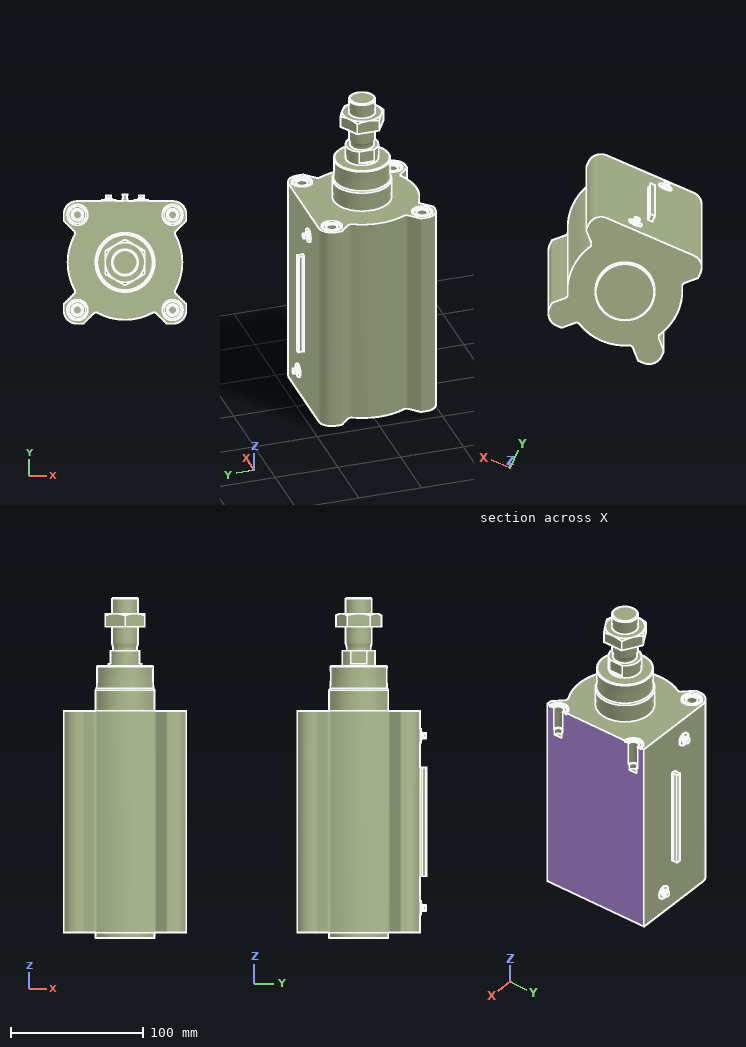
import cadquery as cq
import math

overall_height = 257.6

body_height = 167.8
body_half_width = 46.5
barrel_radius = 43.5
bolt_offset = 36.0
ear_radius = body_half_width - bolt_offset
ear_edge_fillet = 1.0
ear_root_fillet = 2.7

groove_outer_diameter = 15.8
groove_inner_diameter = 13.0
groove_depth = 1.5
seat_depth = 0.7
bolt_hole_diameter = 8.38
bolt_hole_chamfer = 0.4
bolt_hole_depth = 20.0
lower_hole_diameter = 6.6
lower_hole_depth = 5.0

collar_diameter = 45.0
collar_height = 15.5
shoulder_diameter = 43.3
shoulder_height = 1.5
sleeve_height = 17.0
sleeve_top_diameter = 42.9
sleeve_waist_diameter = 42.5
sleeve_chamfer = 0.6
boss_height = 4.3
boss_chamfer = 0.5

rail_width = 4.0
rail_length = 82.5
rail_height = 5.0
rail_groove_bottom = 1.5
rail_groove_top = 4.3
rail_groove_depth = 0.3
screw_x = 12.4
screw_z_from_middle = 65.1
screw_flange_diameter = 10.6
screw_flange_height = 0.8
screw_seat_diameter = 5.4
screw_seat_height = 0.8
screw_neck_diameter = 3.8
screw_neck_height = 0.8
screw_head_width = 4.2
screw_head_height = 2.1
screw_head_chamfer = 0.3

rod_diameter = 25.0
rod_flats_width = 22.0
rod_shoulder_height = 11.6
flats_height = 9.9
undercut_diameter = 18.38
undercut_height = 2.5
undercut_cone_height = 3.0
thread_diameter = 20.0
thread_chamfer = 0.8

nut_width = 30.0
nut_height = 10.0
nut_top_from_tip = 12.0
nut_chamfer_angle = 30.0

collar_top = body_height + collar_height
shoulder_top = collar_top + shoulder_height
sleeve_top = shoulder_top + sleeve_height
rod_shoulder_top = sleeve_top + rod_shoulder_height
undercut_top = rod_shoulder_top + undercut_height
thread_bottom = undercut_top + undercut_cone_height
tip_top = overall_height - boss_height
nut_top = tip_top - nut_top_from_tip
nut_bottom = nut_top - nut_height
rod_bottom = body_height


def cylinder(diameter, bottom, height):
    return cq.Workplane("XY").workplane(offset=bottom).circle(diameter / 2).extrude(height)


def make_ear(angle):
    """Strip reaching from the axis to one corner, cut off square by the body width."""
    reach = 2 * body_half_width
    strip = (
        cq.Workplane("XY")
        .center(reach / 2, 0)
        .rect(reach, 2 * ear_radius)
        .extrude(body_height)
        .rotate((0, 0, 0), (0, 0, 1), angle)
    )
    square = cq.Workplane("XY").rect(2 * body_half_width, 2 * body_half_width).extrude(body_height)
    return strip.intersect(square)


def fillet_uprights(body, points, radius):
    """Round the vertical edges of the body that pass through the given points."""
    margin = 0.5
    for x, y in points:
        low = (x - margin, y - margin, 0)
        high = (x + margin, y + margin, body_height)
        body = body.edges("|Z").edges(cq.selectors.BoxSelector(low, high)).fillet(radius)
    return body


def make_body():
    body = cylinder(2 * barrel_radius, 0, body_height)
    for angle in (45, 135, 225, 315):
        body = body.union(make_ear(angle))
    back = (
        cq.Workplane("XY")
        .center(0, (bolt_offset + body_half_width) / 2)
        .rect(2 * bolt_offset, body_half_width - bolt_offset)
        .extrude(body_height)
    )
    body = body.union(back).clean()

    w = body_half_width
    corners = [(sx * w, sy * w) for sx in (-1, 1) for sy in (-1, 1)]
    body = fillet_uprights(body, corners, ear_radius)

    edge_y = w - math.sqrt(2) * ear_radius
    ear_edges = [(sx * w, sy * edge_y) for sx in (-1, 1) for sy in (-1, 1)]
    ear_edges += [(sx * edge_y, -w) for sx in (-1, 1)]
    body = fillet_uprights(body, ear_edges, ear_edge_fillet)

    root_angle = math.radians(45) - math.asin(ear_radius / barrel_radius)
    near = barrel_radius * math.sin(root_angle)
    far = barrel_radius * math.cos(root_angle)
    roots = [(sx * far, sy * near) for sx in (-1, 1) for sy in (-1, 1)]
    roots += [(sx * near, -far) for sx in (-1, 1)]
    return fillet_uprights(body, roots, ear_root_fillet)


def make_bolt_recess():
    """Cutter for one corner: a V groove around a sunken seat with a stepped blind hole."""
    seat = body_height - seat_depth
    hole_bottom = seat - bolt_hole_depth
    hole_rim_radius = bolt_hole_diameter / 2 + bolt_hole_chamfer
    outline = [
        (0, body_height),
        (groove_outer_diameter / 2, body_height),
        (groove_outer_diameter / 2, body_height - groove_depth),
        (groove_inner_diameter / 2, seat),
        (hole_rim_radius, seat),
        (bolt_hole_diameter / 2, seat - bolt_hole_chamfer),
        (bolt_hole_diameter / 2, hole_bottom),
        (lower_hole_diameter / 2, hole_bottom),
        (lower_hole_diameter / 2, hole_bottom - lower_hole_depth),
        (0, hole_bottom - lower_hole_depth),
    ]
    return cq.Workplane("XZ").polyline(outline).close().revolve(360, (0, 0), (0, 1))


def make_collar():
    """Collar with a conical shoulder and a slightly waisted sleeve."""
    return (
        cq.Workplane("XZ")
        .moveTo(0, body_height)
        .lineTo(collar_diameter / 2, body_height)
        .lineTo(collar_diameter / 2, collar_top)
        .lineTo(shoulder_diameter / 2, shoulder_top)
        .threePointArc(
            (sleeve_waist_diameter / 2, shoulder_top + sleeve_height / 2),
            (sleeve_top_diameter / 2, sleeve_top - sleeve_chamfer),
        )
        .lineTo(sleeve_top_diameter / 2 - sleeve_chamfer, sleeve_top)
        .lineTo(0, sleeve_top)
        .close()
        .revolve(360, (0, 0), (0, 1))
    )


def make_rail():
    """Rail along the middle of the back, with a shallow groove along each side."""
    rail = cq.Workplane("XY").box(rail_width, rail_height, rail_length, centered=(True, False, True))
    groove_width = rail_groove_top - rail_groove_bottom
    for side in (-1, 1):
        groove = (
            cq.Workplane("XY")
            .box(2 * rail_groove_depth, groove_width, rail_length, centered=(True, False, True))
            .translate((side * rail_width / 2, rail_groove_bottom, 0))
        )
        rail = rail.cut(groove)
    return rail.translate((0, body_half_width, body_height / 2))


def make_screw():
    """Adjusting screw standing on the back: flange, seat, neck and hexagon head."""
    levels = [
        (screw_flange_diameter, screw_flange_height),
        (screw_seat_diameter, screw_seat_height),
        (screw_neck_diameter, screw_neck_height),
    ]
    screw = cq.Workplane("XZ")
    y = body_half_width
    for diameter, height in levels:
        step = cq.Workplane("XZ", origin=(0, y, 0)).circle(diameter / 2).extrude(-height)
        screw = screw.union(step)
        y += height

    corner_diameter = screw_head_width / math.cos(math.radians(30))
    head = (
        cq.Workplane("XZ", origin=(0, y, 0))
        .polygon(6, corner_diameter)
        .extrude(-screw_head_height)
        .faces(">Y")
        .edges()
        .chamfer(screw_head_chamfer)
        .rotate((0, 0, 0), (0, 1, 0), 30)
    )
    return screw.union(head)


def make_housing():
    housing = make_body().union(make_collar())
    boss = cylinder(collar_diameter, -boss_height, boss_height)
    housing = housing.union(boss.faces("<Z").edges().chamfer(boss_chamfer))

    recess = make_bolt_recess()
    for x in (-bolt_offset, bolt_offset):
        for y in (-bolt_offset, bolt_offset):
            housing = housing.cut(recess.translate((x, y, 0)))

    housing = housing.union(make_rail())

    screw = make_screw()
    for side in (-1, 1):
        height = body_height / 2 - side * screw_z_from_middle
        housing = housing.union(screw.translate((side * screw_x, 0, height)))

    return housing.cut(cylinder(rod_diameter, rod_bottom, sleeve_top - rod_bottom))


def make_rod():
    rod = cylinder(rod_diameter, rod_bottom, rod_shoulder_top - rod_bottom)
    flats = (
        cq.Workplane("XY")
        .workplane(offset=rod_shoulder_top - flats_height)
        .rect(2 * rod_diameter, 2 * rod_diameter)
        .rect(rod_flats_width, 2 * rod_diameter)
        .extrude(flats_height)
    )
    rod = rod.cut(flats)
    end = (
        cq.Workplane("XZ")
        .moveTo(0, rod_shoulder_top)
        .lineTo(undercut_diameter / 2, rod_shoulder_top)
        .lineTo(undercut_diameter / 2, undercut_top)
        .lineTo(thread_diameter / 2, thread_bottom)
        .lineTo(thread_diameter / 2, tip_top - thread_chamfer)
        .lineTo(thread_diameter / 2 - thread_chamfer, tip_top)
        .lineTo(0, tip_top)
        .close()
        .revolve(360, (0, 0), (0, 1))
    )
    return rod.union(end)


def make_nut():
    """Hexagon nut with two flats facing X and its upper corners turned off by a cone."""
    corner_diameter = nut_width / math.cos(math.radians(30))
    nut = (
        cq.Workplane("XY")
        .workplane(offset=nut_bottom)
        .polygon(6, corner_diameter)
        .extrude(nut_height)
        .rotate((0, 0, 0), (0, 0, 1), 30)
    )
    drop = (corner_diameter - nut_width) / 2 * math.tan(math.radians(nut_chamfer_angle))
    turned = (
        cq.Workplane("XZ")
        .moveTo(0, nut_bottom)
        .lineTo(corner_diameter / 2, nut_bottom)
        .lineTo(corner_diameter / 2, nut_top - drop)
        .lineTo(nut_width / 2, nut_top)
        .lineTo(0, nut_top)
        .close()
        .revolve(360, (0, 0), (0, 1))
    )
    return nut.intersect(turned).cut(cylinder(thread_diameter, nut_bottom, nut_height))


housing = make_housing()
rod = make_rod()
nut = make_nut()

result = cq.Compound.makeCompound([housing.val(), rod.val(), nut.val()])